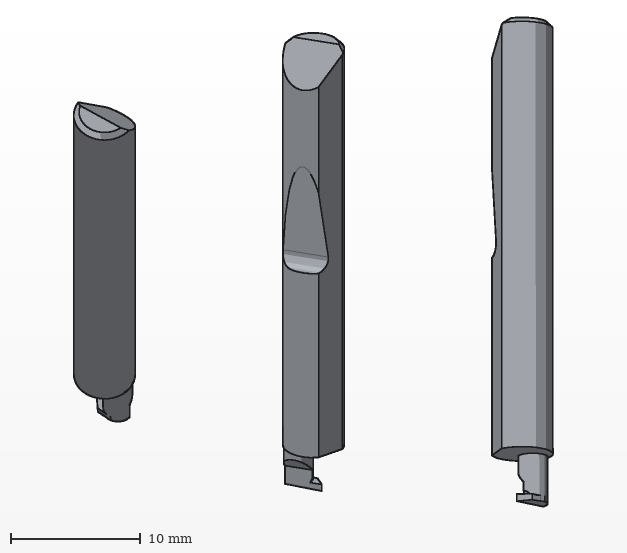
import cadquery as cq
import math

total_height = 38.1
shank_radius = 2.38
shank_bottom = 3.9
top_chamfer = 0.42
bevel_foot = 35.15
flat_normal_angle = 150.0
flat_distance = shank_radius * math.cos(math.radians(30))

notch_bottom = 19.6
notch_top = 28.65
notch_depth = 1.35
notch_radius = 1.0

neck_radius = 1.15
neck_x = shank_radius - neck_radius
rake_y = -0.05
rake_slope_end = 2.85

tip_x = -0.7
head_top = 0.57
head_corner = (0.05, -1.0)
head_flank_end = (1.35, -1.15)
undercut_top = 1.0
undercut_depth = 0.2
end_relief = 0.1
side_relief = 0.08

cutter_size = 3 * shank_radius


def prism_along_x(points):
    """Extrude a Y-Z outline through the full width of the part."""
    return cq.Workplane("YZ").polyline(points).close().extrude(cutter_size, both=True)


def make_shank():
    height = total_height - shank_bottom
    shank = cq.Workplane("XY").workplane(offset=shank_bottom).circle(shank_radius).extrude(height)
    shank = shank.faces(">Z").chamfer(top_chamfer)
    side_flat = (
        cq.Workplane("XY")
        .center(flat_distance + cutter_size / 2, 0)
        .rect(cutter_size, cutter_size)
        .extrude(2 * total_height)
        .rotate((0, 0, 0), (0, 0, 1), flat_normal_angle)
    )
    bevel_run = total_height - bevel_foot
    bevel = prism_along_x([
        (shank_radius, bevel_foot),
        (shank_radius - 2 * bevel_run, bevel_foot + 2 * bevel_run),
        (shank_radius, bevel_foot + 2 * bevel_run),
    ])
    return shank.cut(side_flat).cut(bevel).cut(make_notch())


def make_notch():
    floor_y = shank_radius - notch_depth
    notch = prism_along_x([
        (cutter_size, notch_bottom),
        (floor_y, notch_bottom),
        (shank_radius, notch_top),
        (cutter_size, notch_top),
    ])
    return notch.edges("|X and <Y").fillet(notch_radius)


def make_neck():
    neck = cq.Workplane("XY").center(neck_x, 0).circle(neck_radius).extrude(shank_bottom)
    slope_start = rake_slope_end - (neck_radius - rake_y)
    rake = prism_along_x([
        (rake_y, 0),
        (rake_y, slope_start),
        (neck_radius, rake_slope_end),
        (cutter_size, rake_slope_end),
        (cutter_size, 0),
    ])
    neck_left = neck_x - neck_radius
    undercut = (
        cq.Workplane("XZ")
        .polyline([
            (neck_left, undercut_top),
            (neck_left + undercut_depth, head_top),
            (neck_left, head_top),
        ])
        .close()
        .extrude(cutter_size, both=True)
    )
    return neck.cut(rake).cut(undercut)


def make_hook():
    outline = [(tip_x, rake_y), head_corner, head_flank_end, (head_flank_end[0], rake_y)]
    return cq.Workplane("XY").polyline(outline).close().extrude(head_top)


def make_end_relief():
    """Half-space below the end face, which rises away from the tip."""
    rise_x = end_relief / (shank_radius - tip_x)
    rise_y = side_relief / neck_radius
    end_face = cq.Plane(origin=(tip_x, rake_y, 0), xDir=(1, 0, rise_x), normal=(-rise_x, rise_y, 1))
    return cq.Workplane(end_face).rect(2 * cutter_size, 2 * cutter_size).extrude(-cutter_size)


head = make_neck().union(make_hook()).cut(make_end_relief())
result = make_shank().union(head)